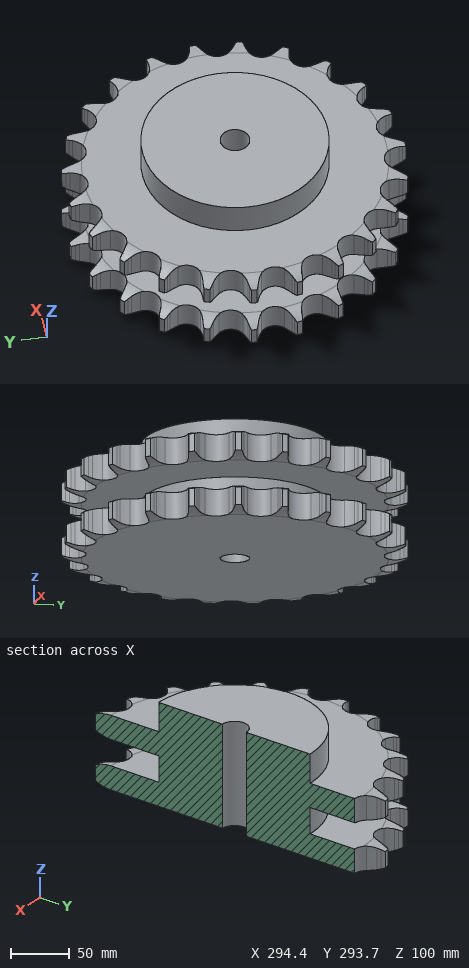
import cadquery as cq
import math


TEETH = 23
PITCH = 38.1
ROLLER_DIAMETER = 25.4

SEATING_CLEARANCE = 0.038
SEATING_RADIUS = 0.5025 * ROLLER_DIAMETER + SEATING_CLEARANCE
WORKING_OFFSET = 0.8 * ROLLER_DIAMETER
TOPPING_OFFSET = 1.4 * ROLLER_DIAMETER
SEATING_ANGLE = math.radians(35 + 60 / TEETH)
WORKING_ANGLE = math.radians(18 - 56 / TEETH)
TOPPING_ANGLE = math.radians(17 - 64 / TEETH)

TIP_DIAMETER = 294.8
TOOTH_WIDTH = 23.6
DUPLEX_WIDTH = 72.0
TOTAL_HEIGHT = 100.0
HUB_DIAMETER = 160.0
BORE_DIAMETER = 25.0

SIDE_RADIUS = 38.0
SIDE_RELIEF = 4.0

CUTTER_MARGIN = 5.0

TIP_RADIUS = TIP_DIAMETER / 2
HALF_TOOTH_ANGLE = math.pi / TEETH
PITCH_RADIUS = PITCH / 2 / math.sin(HALF_TOOTH_ANGLE)
UPPER_DISC_BASE = DUPLEX_WIDTH - TOOTH_WIDTH


def offset(point, distance, angle):
    """Point at a distance from another one, in the direction of an angle in radians."""
    return (point[0] + distance * math.cos(angle), point[1] + distance * math.sin(angle))


def mirrored(point):
    """Point reflected across the centre line of the tooth gap."""
    return (-point[0], point[1])


def disc_blank():
    """Toothless disc whose rim is narrowed on both sides by large tangent arcs."""
    rounding_depth = math.sqrt(SIDE_RADIUS**2 - (SIDE_RADIUS - SIDE_RELIEF) ** 2)
    flat_radius = TIP_RADIUS - rounding_depth
    half_sweep = math.asin(rounding_depth / SIDE_RADIUS) / 2
    lower_middle = offset((flat_radius, SIDE_RADIUS), SIDE_RADIUS, half_sweep - math.pi / 2)
    upper_middle = (lower_middle[0], TOOTH_WIDTH - lower_middle[1])
    return (
        cq.Workplane("XZ")
        .moveTo(0, 0)
        .lineTo(flat_radius, 0)
        .threePointArc(lower_middle, (TIP_RADIUS, SIDE_RELIEF))
        .lineTo(TIP_RADIUS, TOOTH_WIDTH - SIDE_RELIEF)
        .threePointArc(upper_middle, (flat_radius, TOOTH_WIDTH))
        .lineTo(0, TOOTH_WIDTH)
        .close()
        .revolve(360, (0, 0, 0), (0, 1, 0))
    )


def gap_cutter():
    """Space between two teeth, centred on +Y: seating arc, working arcs, straights, topping arcs."""
    flank_angle = WORKING_ANGLE - SEATING_ANGLE
    topping_direction = math.pi + flank_angle
    working_radius = WORKING_OFFSET + SEATING_RADIUS
    topping_radius = (
        WORKING_OFFSET * math.cos(WORKING_ANGLE)
        + TOPPING_OFFSET * math.cos(TOPPING_ANGLE)
        - working_radius
    )

    roller_centre = (0, PITCH_RADIUS)
    working_centre = offset(roller_centre, WORKING_OFFSET, math.pi - SEATING_ANGLE)
    topping_centre = offset(roller_centre, TOPPING_OFFSET, -HALF_TOOTH_ANGLE)

    root = (0, PITCH_RADIUS - SEATING_RADIUS)
    seating_end = offset(roller_centre, SEATING_RADIUS, -SEATING_ANGLE)
    working_middle = offset(working_centre, working_radius, -SEATING_ANGLE + WORKING_ANGLE / 2)
    working_end = offset(working_centre, working_radius, flank_angle)
    topping_start = offset(topping_centre, topping_radius, topping_direction)

    centre_distance = math.hypot(*topping_centre)
    centre_direction = math.atan2(topping_centre[1], topping_centre[0])
    tip_cosine = (centre_distance**2 + TIP_RADIUS**2 - topping_radius**2) / (2 * centre_distance * TIP_RADIUS)
    tip_corner = offset((0, 0), TIP_RADIUS, centre_direction + math.acos(tip_cosine))
    corner_angle = math.atan2(tip_corner[1] - topping_centre[1], tip_corner[0] - topping_centre[0])
    topping_middle = offset(topping_centre, topping_radius, (corner_angle + topping_direction) / 2)
    outer_corner = (tip_corner[0], TIP_RADIUS + CUTTER_MARGIN)

    return (
        cq.Workplane("XY")
        .moveTo(*mirrored(seating_end))
        .threePointArc(root, seating_end)
        .threePointArc(working_middle, working_end)
        .lineTo(*topping_start)
        .threePointArc(topping_middle, tip_corner)
        .lineTo(*outer_corner)
        .lineTo(*mirrored(outer_corner))
        .lineTo(*mirrored(tip_corner))
        .threePointArc(mirrored(topping_middle), mirrored(topping_start))
        .lineTo(*mirrored(working_end))
        .threePointArc(mirrored(working_middle), mirrored(seating_end))
        .close()
        .extrude(TOOTH_WIDTH)
    )


def toothed_disc():
    """Disc with its tooth gaps, one of them centred on +Y."""
    cutter = gap_cutter()
    disc = disc_blank()
    for index in range(TEETH):
        disc = disc.cut(cutter.rotate((0, 0, 0), (0, 0, 1), index * 360 / TEETH))
    return disc


def hub():
    """Plain cylinder carrying both discs."""
    return cq.Workplane("XY").circle(HUB_DIAMETER / 2).extrude(TOTAL_HEIGHT)


def bore():
    """Shaft hole through the whole hub."""
    return cq.Workplane("XY").circle(BORE_DIAMETER / 2).extrude(TOTAL_HEIGHT)


lower_disc = toothed_disc()
upper_disc = lower_disc.translate((0, 0, UPPER_DISC_BASE))
result = hub().union(lower_disc).union(upper_disc).cut(bore())